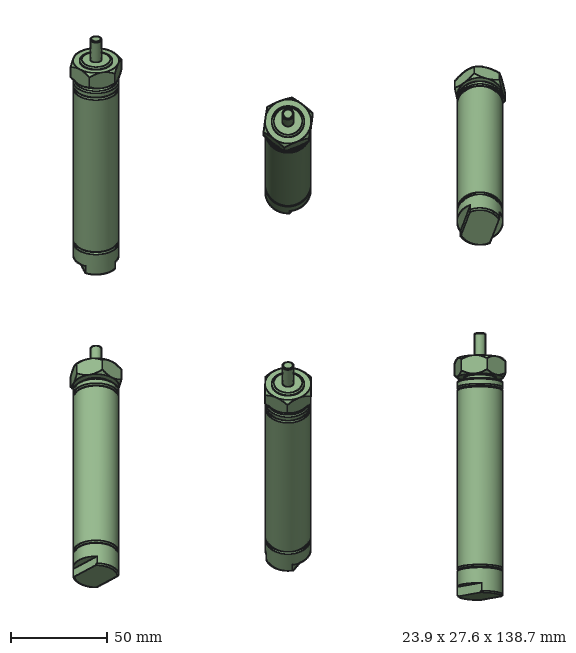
import cadquery as cq
import math

total_height = 138.7

barrel_diameter = 23.9
shoulder_z = 113.5
barrel_chamfer = 0.8
groove_depth = 0.8
groove_width = 1.7
lower_groove_z = 13.9
upper_groove_z = 109.3

flat_spacing = 15.8
flat_height = 5.0

neck_top_z = 125.9
thread_diameter = 16.9
neck_chamfer = 1.1
relief_diameter = 15.5

nut_bottom_z = 115.5
nut_height = 9.7
nut_across_flats = 23.9
nut_across_corners = nut_across_flats / math.cos(math.pi / 6)
nut_chamfer_height = 2.0

rod_diameter = 6.0
rod_chamfer = 0.5
rod_bottom_z = shoulder_z


def cylinder(diameter, bottom_z, top_z):
    """Upright cylinder on the Z axis."""
    return cq.Workplane("XY").workplane(offset=bottom_z).circle(diameter / 2).extrude(top_z - bottom_z)


def v_groove(middle_z):
    """Ring with a triangular section, removed from the barrel surface."""
    radius = barrel_diameter / 2
    section = [
        (radius, middle_z - groove_width / 2),
        (radius, middle_z + groove_width / 2),
        (radius - groove_depth, middle_z),
    ]
    return cq.Workplane("XZ").polyline(section).close().revolve(360, (0, 0, 0), (0, 1, 0))


def flat_cutter(side):
    """Block beyond one wrench flat, on the side given by the sign of Y."""
    block_depth = barrel_diameter
    middle_y = side * (flat_spacing + block_depth) / 2
    return (
        cq.Workplane("XY")
        .center(0, middle_y)
        .rect(2 * barrel_diameter, block_depth)
        .extrude(flat_height)
    )


def make_housing():
    """Grooved barrel with wrench flats, a threaded neck and a bore for the rod."""
    barrel = cylinder(barrel_diameter, 0, shoulder_z).edges("%CIRCLE").chamfer(barrel_chamfer)
    for groove_z in (lower_groove_z, upper_groove_z):
        barrel = barrel.cut(v_groove(groove_z))
    for side in (-1, 1):
        barrel = barrel.cut(flat_cutter(side))

    relief = cylinder(relief_diameter, shoulder_z, nut_bottom_z)
    thread = cylinder(thread_diameter, nut_bottom_z, neck_top_z).faces(">Z").edges().chamfer(neck_chamfer)
    bore = cylinder(rod_diameter, rod_bottom_z, neck_top_z)
    return barrel.union(relief).union(thread).cut(bore)


def make_nut():
    """Hexagon with two corners on the Y axis and conical chamfers at both ends."""
    blank = (
        cq.Workplane("XY")
        .workplane(offset=nut_bottom_z)
        .transformed(rotate=(0, 0, 90))
        .polygon(6, nut_across_corners)
        .extrude(nut_height)
    )
    chamfer_width = (nut_across_corners - nut_across_flats) / 2
    nut_top_z = nut_bottom_z + nut_height
    envelope = (
        cylinder(nut_across_corners, nut_bottom_z, nut_top_z)
        .faces(">Z or <Z")
        .edges()
        .chamfer(nut_chamfer_height, chamfer_width)
    )
    return blank.intersect(envelope).cut(cylinder(thread_diameter, nut_bottom_z, nut_top_z))


def make_rod():
    """Plain rod with a chamfered free end."""
    return cylinder(rod_diameter, rod_bottom_z, total_height).faces(">Z").edges().chamfer(rod_chamfer)


housing = make_housing()
nut = make_nut()
rod = make_rod()

result = cq.Compound.makeCompound([housing.val(), nut.val(), rod.val()])